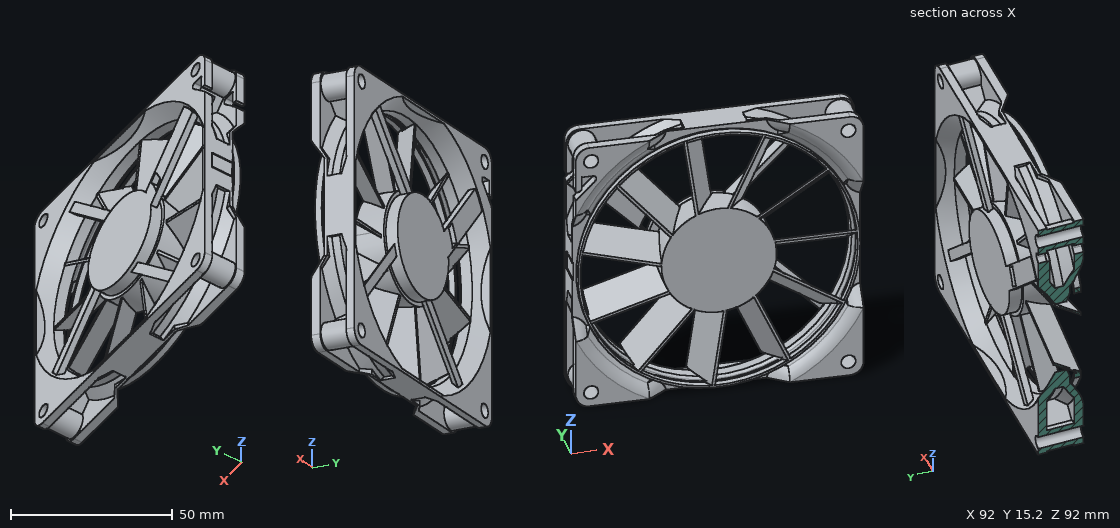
import cadquery as cq
import math

side = 92.0
depth = 15.2
half = side / 2
overshoot = 0.9
front_flange = 3.2
rear_flange = 2.85
rear_flange_y = depth - rear_flange
corner_radius = 4.3

hole_place = 41.1
hole_diameter = 4.6
post_radius = 4.4
post_web_width = 2.9
post_web_root = 0.9

waist_radius = 46.2
waist_front_y = 6.8
waist_rear_y = 9.6
front_flare_radius = 49.0
rear_flare_radius = 48.3
mouth_radius = 51.1
mouth_break_radius = 47.3
mouth_break_y = 2.6
mouth_bulge = 0.55
throat_radius = 45.2
throat_y = 4.2
throat_step_radius = 44.25
throat_step_y = 4.9
bore_radius = 43.5
bore_front_y = 5.7
exit_radius = 47.1
exit_side_wall = 1.0

block_width = 20.1
relief_front_width = 44.9
relief_floor_width = 32.2
relief_depth = 4.6
bridge_thickness = 1.0
bridge_root_width = 39.7
relief_reach = 9.2
relief_rim_z = math.sqrt(mouth_radius**2 - (relief_front_width / 2) ** 2)
relief_round_z = math.sqrt(mouth_break_radius**2 - (relief_front_width / 2) ** 2)

notch_finger = 1.9
notch_mouth_top = 30.6
notch_mouth_bottom = 27.8
notch_top = 35.9
notch_round = 1.1
finger_chamfer = 0.9

tray_thickness = 1.1
tray_reach = 52.1
tray_root = 2.8
tray_start = 1.0
tray_end = 12.9
label_width = 6.0
label_depth = 0.3

base_radius = 17.0
base_front_y = 11.0
strut_thickness = 2.3
strut_root = 2.8
strut_rear_y = 13.8
strut_inner_edge = 5.0
strut_front_edge = 6.9
strut_rear_edge = 8.6
cable_strut_inner_edge = 3.2
cable_strut_outer_edge = 10.7
cable_strut_wall = 0.7
cable_window_start = 20.5
cable_window_end = 23.8

hub_radius = 18.4
impeller_front_y = 0.9
hub_rear_y = 11.0
ring_outer_radius = 45.2
ring_inner_radius = 44.3
ring_rear_y = 3.2
blade_count = 11
blade_lead = 5.1
blade_sweep = 6.35
blade_thickness = 1.0
blade_rear_y = 10.1
blade_root = 0.1
blade_tip_front_radius = 44.2
blade_tip_rear_radius = 42.7


def prism(points, y_start, y_end):
    """Closed outline given as (x, z) points, filled from y_start to y_end."""
    outline = cq.Workplane("XZ", origin=(0, y_start, 0)).polyline(points).close()
    return outline.extrude(y_start - y_end)


def disc(radius, y_start, y_end, x=0, z=0):
    """Round bar along Y."""
    return cq.Workplane("XZ", origin=(x, y_start, z)).circle(radius).extrude(y_start - y_end)


def bar(x_start, x_end, z_start, z_end, y_start, y_end):
    """Plain box given by its limits."""
    size = (x_end - x_start, y_end - y_start, z_end - z_start)
    return cq.Workplane().box(*size, centered=False).translate((x_start, y_start, z_start))


def turned(shape, angle):
    """Copy turned about the fan axis, counterclockwise from the front."""
    return shape.rotate((0, 0, 0), (0, -1, 0), angle)


def flange(y_start, y_end):
    plate = bar(-half, half, -half, half, y_start, y_end)
    return plate.edges("|Y").fillet(corner_radius)


def duct_outside():
    front_slope = (front_flare_radius - waist_radius) / (waist_front_y - front_flange)
    front_radius = waist_radius + front_slope * waist_front_y
    points = [
        (0, 0),
        (front_radius, 0),
        (waist_radius, waist_front_y),
        (waist_radius, waist_rear_y),
        (rear_flare_radius, rear_flange_y),
        (rear_flare_radius, depth),
        (0, depth),
    ]
    body = cq.Workplane("XY").polyline(points).close().revolve(360, (0, 0, 0), (0, 1, 0))
    return body.intersect(bar(-half, half, -half, half, 0, depth))


def mouth_arc_middle(outer, inner):
    """Middle point of the rounded mouth, lying towards the front face from its chord."""
    return ((outer + inner) / 2, mouth_break_y / 2 - mouth_bulge)


def duct_inside():
    """Air passage: rounded intake mouth, stepped throat and straight bore."""
    arc_middle = mouth_arc_middle(mouth_radius, mouth_break_radius)
    passage = (
        cq.Workplane("XY")
        .moveTo(0, -overshoot)
        .lineTo(mouth_radius, -overshoot)
        .lineTo(mouth_radius, 0)
        .threePointArc(arc_middle, (mouth_break_radius, mouth_break_y))
        .lineTo(throat_radius, throat_y)
        .lineTo(throat_step_radius, throat_step_y)
        .lineTo(bore_radius, bore_front_y)
        .lineTo(bore_radius, depth + overshoot)
        .lineTo(0, depth + overshoot)
        .close()
    )
    return passage.revolve(360, (0, 0, 0), (0, 1, 0))


def duct_exit():
    """Rear cone of the air passage, kept flat where it comes close to the four sides."""
    limit = half - exit_side_wall
    cone = (
        cq.Workplane("XY")
        .moveTo(0, waist_rear_y)
        .lineTo(bore_radius, waist_rear_y)
        .lineTo(exit_radius, depth)
        .lineTo(exit_radius, depth + overshoot)
        .lineTo(0, depth + overshoot)
        .close()
        .revolve(360, (0, 0, 0), (0, 1, 0))
    )
    return cone.intersect(bar(-limit, limit, -limit, limit, 0, depth + overshoot))


def side_prism(outline):
    """Outline of (x, y) points, filled along Z at the +Z side of the frame."""
    base = cq.Workplane("XY", origin=(0, 0, half - relief_reach))
    return base.polyline(outline).close().extrude(relief_reach)


def side_bridge():
    """Thin continuation of the front flange behind the relief, and the block to the rear flange."""
    bridge_y = relief_depth + bridge_thickness
    bridge = side_prism([
        (-bridge_root_width / 2, front_flange),
        (-relief_floor_width / 2, bridge_y),
        (relief_floor_width / 2, bridge_y),
        (bridge_root_width / 2, front_flange),
    ])
    block = bar(-block_width / 2, block_width / 2, half - relief_reach, half, front_flange, depth)
    return bridge.union(block)


def slanted_cut(x_start, x_end, y_start, y_end):
    """Rounded rim section of the relief, pushed along a straight line in the XY plane."""
    front = -relief_depth - overshoot
    middle_z, middle_y = mouth_arc_middle(relief_rim_z, relief_round_z)
    inner_z = half - relief_reach
    section = (
        cq.Workplane("YZ", origin=(x_start, y_start, 0))
        .moveTo(front, half + overshoot)
        .lineTo(0, half + overshoot)
        .lineTo(0, relief_rim_z)
        .threePointArc((middle_y, middle_z), (mouth_break_y, relief_round_z))
        .lineTo(mouth_break_y, inner_z)
        .lineTo(front, inner_z)
        .close()
    )
    push = cq.Vector(x_end - x_start, y_end - y_start, 0)
    return cq.Workplane(cq.Solid.extrudeLinear(section.val(), [], push))


def side_relief():
    """Sunken middle of one front flange side: a slope down, a floor and a slope up."""
    edge = relief_front_width / 2
    floor = relief_floor_width / 2
    cut = bar(-floor, floor, half - relief_reach, half + overshoot, -overshoot, relief_depth)
    slopes = slanted_cut(-edge, -floor, 0, relief_depth).union(slanted_cut(edge, floor, 0, relief_depth))
    above_floor = bar(-edge, edge, 0, half + overshoot, -overshoot, relief_depth)
    return cut.union(slopes.intersect(above_floor))


def corner_post():
    """Round post with a web to the duct, on the +X axis before it is turned into a corner."""
    centre = hole_place * math.sqrt(2)
    post = disc(post_radius, 0, depth, centre, 0)
    web = bar(waist_radius - post_web_root, centre, -post_web_width / 2, post_web_width / 2, 0, depth)
    return post.union(web)


def cable_notch():
    finger_x = -half + notch_finger
    diagonal = notch_mouth_bottom + half
    tip_x = notch_top - diagonal
    notch = prism(
        [
            (-half, notch_mouth_bottom),
            (-half, notch_mouth_top),
            (finger_x - finger_chamfer, notch_mouth_top),
            (finger_x, notch_mouth_top + finger_chamfer),
            (finger_x, notch_top),
            (tip_x, notch_top),
        ],
        0,
        depth,
    )
    tip = cq.selectors.NearestToPointSelector((tip_x, depth / 2, notch_top))
    return notch.edges("|Y").edges(tip).fillet(notch_round)


def cable_tray():
    """Thin shelf on the rear flange, on the +X axis before it is turned into the notched corner."""
    return bar(
        waist_radius - tray_root,
        tray_reach,
        tray_start,
        tray_end,
        rear_flange_y - tray_thickness,
        rear_flange_y,
    )


def label_recess():
    return bar(-half, label_depth - half, -label_width / 2, label_width / 2, relief_depth, rear_flange_y)


def strut(rear_y, inner_edge, front_edge, rear_edge):
    """Strut along +X beside the fan axis, its outer flank slanting from front edge to rear edge."""
    section = [
        (rear_y - strut_thickness, inner_edge),
        (rear_y - strut_thickness, front_edge),
        (rear_y, rear_edge),
        (rear_y, inner_edge),
    ]
    slab = cq.Workplane("YZ").polyline(section).close().extrude(half)
    return slab.intersect(disc(bore_radius + strut_root, 0, depth))


def cable_strut():
    """Wide flat strut with a window between two arcs about the fan axis."""
    body = strut(depth, cable_strut_inner_edge, cable_strut_outer_edge, cable_strut_outer_edge)
    window = disc(cable_window_end, 0, depth).cut(disc(cable_window_start, 0, depth))
    limits = bar(
        0,
        cable_window_end,
        cable_strut_inner_edge + cable_strut_wall,
        cable_strut_outer_edge - cable_strut_wall,
        0,
        depth,
    )
    return body.cut(window.intersect(limits))


def make_frame():
    frame = duct_outside().union(flange(0, front_flange)).union(flange(rear_flange_y, depth))
    for quarter in range(4):
        frame = frame.union(turned(corner_post(), 45 + 90 * quarter))
        frame = frame.union(turned(side_bridge(), 90 * quarter))
    frame = frame.union(turned(cable_tray(), 135))
    frame = frame.cut(duct_inside()).cut(duct_exit())
    for quarter in range(4):
        frame = frame.cut(turned(side_relief(), 90 * quarter))
    for x in (-hole_place, hole_place):
        for z in (-hole_place, hole_place):
            frame = frame.cut(disc(hole_diameter / 2, 0, depth, x, z))
    frame = frame.cut(cable_notch()).cut(label_recess())

    plain_strut = strut(strut_rear_y, strut_inner_edge, strut_front_edge, strut_rear_edge)
    for angle in (45, 225, 315):
        frame = frame.union(turned(plain_strut, angle))
    frame = frame.union(turned(cable_strut(), 135))
    return frame.union(disc(base_radius, base_front_y, depth))


def blade():
    """Flat slanted blade along +X, from inside the hub to the ring."""
    section = [
        (impeller_front_y, blade_lead),
        (impeller_front_y, blade_lead - blade_thickness),
        (blade_rear_y, blade_lead - blade_thickness - blade_sweep),
        (blade_rear_y, blade_lead - blade_sweep),
    ]
    slab = cq.Workplane("YZ").polyline(section).close().extrude(ring_outer_radius)
    tip_limit = (
        cq.Workplane("XY")
        .moveTo(0, impeller_front_y)
        .lineTo(blade_tip_front_radius, impeller_front_y)
        .lineTo(blade_tip_rear_radius, blade_rear_y)
        .lineTo(0, blade_rear_y)
        .close()
        .revolve(360, (0, 0, 0), (0, 1, 0))
    )
    ring_limit = disc(ring_inner_radius + blade_root, impeller_front_y, ring_rear_y)
    return slab.intersect(tip_limit.union(ring_limit))


def make_impeller():
    ring = disc(ring_outer_radius, impeller_front_y, ring_rear_y)
    ring = ring.cut(disc(ring_inner_radius, impeller_front_y, ring_rear_y))
    impeller = disc(hub_radius, impeller_front_y, hub_rear_y)
    one_blade = blade()
    for index in range(blade_count):
        impeller = impeller.union(turned(one_blade, index * 360 / blade_count))
    return impeller.union(ring)


frame = make_frame()
impeller = make_impeller()
result = cq.Compound.makeCompound([frame.val(), impeller.val()])